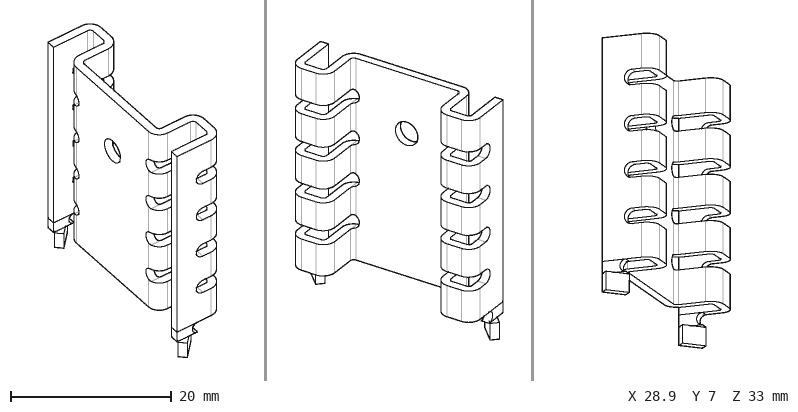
import cadquery as cq

sheet = 1.2
width = 27.0
depth = 7.0
height = 29.0
fold_width = 5.5
inner_radius = 0.5
outer_radius = inner_radius + sheet

leg_outer_x = width / 2
leg_inner_x = leg_outer_x - sheet
wall_inner_x = leg_outer_x - fold_width
wall_outer_x = wall_inner_x + sheet
leg_center_x = (leg_outer_x + leg_inner_x) / 2
crown_inner_y = depth - sheet

slot_count = 4
slot_width = 2.0
slot_pitch = 6.0
slot_tip_x = 7.0
slot_tip_y = 3.0

hole_diameter = 3.3
hole_from_top = 8.5

tab_width = 3.2
neck_height = 1.6
notch_radius = neck_height / 2
foot_height = 2.4
foot_twist = 45.0


def folded_sheet():
    """Web, two U-shaped folds and outer legs, drawn as one half and mirrored."""
    half_outline = (
        cq.Workplane("XY")
        .moveTo(0, 0)
        .lineTo(wall_outer_x - outer_radius, 0)
        .radiusArc((wall_outer_x, outer_radius), -outer_radius)
        .lineTo(wall_outer_x, crown_inner_y - inner_radius)
        .radiusArc((wall_outer_x + inner_radius, crown_inner_y), inner_radius)
        .lineTo(leg_inner_x - inner_radius, crown_inner_y)
        .radiusArc((leg_inner_x, crown_inner_y - inner_radius), inner_radius)
        .lineTo(leg_inner_x, 0)
        .lineTo(leg_outer_x, 0)
        .lineTo(leg_outer_x, depth - outer_radius)
        .radiusArc((leg_outer_x - outer_radius, depth), -outer_radius)
        .lineTo(wall_inner_x + outer_radius, depth)
        .radiusArc((wall_inner_x, depth - outer_radius), -outer_radius)
        .lineTo(wall_inner_x, sheet + inner_radius)
        .radiusArc((wall_inner_x - inner_radius, sheet), inner_radius)
        .lineTo(0, sheet)
    )
    return half_outline.mirrorY().extrude(height)


def round_ended_cutter(plane, tip, far_end, length):
    """Slot cutter on a vertical plane, round at the tip and square at the far end.

    The far end lies towards larger plane coordinates than the tip.
    """
    radius = slot_width / 2
    return (
        cq.Workplane(plane)
        .moveTo(far_end, -radius)
        .lineTo(tip + radius, -radius)
        .threePointArc((tip, 0), (tip + radius, radius))
        .lineTo(far_end, radius)
        .close()
        .extrude(length)
    )


def slot_cutter():
    """One +X slot: across the fold in X, and into the leg from the crown."""
    fold_slot = round_ended_cutter("XZ", slot_tip_x, leg_inner_x, -depth)
    leg_slot = round_ended_cutter("YZ", slot_tip_y, depth, sheet)
    return fold_slot.union(leg_slot.translate((leg_inner_x, 0, 0)))


def make_channel():
    channel = folded_sheet()
    right_cutter = slot_cutter()
    left_cutter = right_cutter.mirror("YZ")
    lowest_slot_z = (height - (slot_count - 1) * slot_pitch) / 2
    for index in range(slot_count):
        lift = (0, 0, lowest_slot_z + index * slot_pitch)
        channel = channel.cut(right_cutter.translate(lift))
        channel = channel.cut(left_cutter.translate(lift))
    hole = (
        cq.Workplane("XZ")
        .center(0, height - hole_from_top)
        .circle(hole_diameter / 2)
        .extrude(-sheet)
    )
    return channel.cut(hole)


def make_neck(center_x):
    """Short strip under a leg with a half-round notch in its rear edge."""
    return (
        cq.Workplane("YZ", origin=(center_x - sheet / 2, 0, 0))
        .moveTo(0, 0)
        .lineTo(tab_width, 0)
        .threePointArc((tab_width - notch_radius, -notch_radius), (tab_width, -neck_height))
        .lineTo(0, -neck_height)
        .close()
        .extrude(sheet)
    )


def make_foot(center_x):
    """Flat foot under a neck, twisted about its own vertical axis."""
    return (
        cq.Workplane("XY")
        .rect(sheet, tab_width)
        .extrude(-foot_height)
        .rotate((0, 0, 0), (0, 0, 1), foot_twist)
        .translate((center_x, tab_width / 2, -neck_height))
    )


bodies = [make_channel().val()]
for tab_x in (-leg_center_x, leg_center_x):
    bodies.append(make_neck(tab_x).val())
    bodies.append(make_foot(tab_x).val())

result = cq.Compound.makeCompound(bodies)